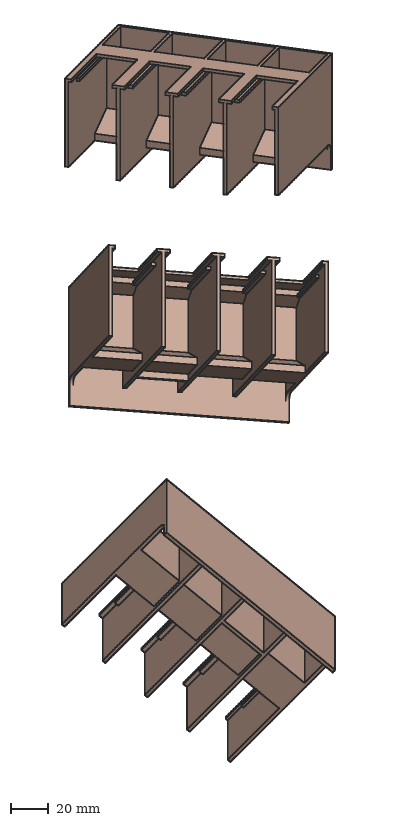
import cadquery as cq
import math

WIDTH = 120.0
DEPTH = 82.5
HEIGHT = 65.5
BAY_COUNT = 4
BAY_PITCH = WIDTH / BAY_COUNT

WALL = 2.0
SIDE_HEIGHT = 50.0
SIDE_BOTTOM = HEIGHT - SIDE_HEIGHT
SKIRT_RADIUS = 4.0
DIVIDER_BOTTOM = 11.8

PLATE = 1.75
SLOT_DEPTH = 39.0
SIDE_LIP = 1.5
DIVIDER_LIP = 2.5
RAIL_GAP = 2.25
RAIL_HEIGHT = 1.75
RAIL_FRONT = 12.5

POCKET_FRONT = DEPTH - 30.0
POCKET_SLOPE_DROP = 8.0
PARTITION_REAR = DEPTH - 22.0
PARTITION_FRONT = PARTITION_REAR - WALL
HEAD_FRONT = PARTITION_FRONT - 8.0
HEAD_BOTTOM = HEIGHT - 5.0
HEAD_SLOPE_DROP = 4.0
FOOT_FRONT = PARTITION_FRONT - 18.0
FOOT_TOP = SIDE_BOTTOM + 4.0
FOOT_SLOPE_RISE = 7.8

EXTENDED_BAY = 2


def box_between(x_range, y_range, z_range):
    """Box spanning a (low, high) range along each axis."""
    sizes = [high - low for low, high in (x_range, y_range, z_range)]
    corner = (x_range[0], y_range[0], z_range[0])
    return cq.Workplane("XY").box(*sizes, centered=False).translate(corner)


def divider_range(index):
    """X range of the divider on the right of bay number `index`."""
    centre = index * BAY_PITCH
    return centre - WALL / 2, centre + WALL / 2


def back_wall():
    return box_between((0, WIDTH), (DEPTH - WALL, DEPTH), (0, HEIGHT))


def partition():
    """Separator with a funnel slope behind, a thick head above and a sloped foot below."""
    profile = [
        (POCKET_FRONT, HEIGHT),
        (PARTITION_REAR, HEIGHT - POCKET_SLOPE_DROP),
        (PARTITION_REAR, SIDE_BOTTOM),
        (FOOT_FRONT, SIDE_BOTTOM),
        (FOOT_FRONT, FOOT_TOP),
        (PARTITION_FRONT, FOOT_TOP + FOOT_SLOPE_RISE),
        (PARTITION_FRONT, HEAD_BOTTOM - HEAD_SLOPE_DROP),
        (HEAD_FRONT, HEAD_BOTTOM),
        (HEAD_FRONT, HEIGHT - PLATE),
        (SLOT_DEPTH, HEIGHT - PLATE),
        (SLOT_DEPTH, HEIGHT),
    ]
    return cq.Workplane("YZ").polyline(profile).close().extrude(WIDTH)


def side_wall(x_left):
    """Outer wall whose bottom edge curves down into the back wall."""
    back_face = DEPTH - WALL
    mid_offset = SKIRT_RADIUS * (1 - math.sqrt(0.5))
    return (
        cq.Workplane("YZ")
        .workplane(offset=x_left)
        .moveTo(0, HEIGHT)
        .lineTo(0, SIDE_BOTTOM)
        .lineTo(back_face - SKIRT_RADIUS, SIDE_BOTTOM)
        .threePointArc(
            (back_face - mid_offset, SIDE_BOTTOM - mid_offset),
            (back_face, SIDE_BOTTOM - SKIRT_RADIUS),
        )
        .lineTo(back_face, HEIGHT)
        .close()
        .extrude(WALL)
    )


def divider(index):
    return box_between(divider_range(index), (0, DEPTH), (DIVIDER_BOTTOM, HEIGHT))


def guides(x_range):
    """Slot lip at the top and the parallel rail below it, both on the same X range."""
    rail_top = HEIGHT - PLATE - RAIL_GAP
    lip = box_between(x_range, (0, SLOT_DEPTH), (HEIGHT - PLATE, HEIGHT))
    rail = box_between(x_range, (RAIL_FRONT, HEAD_FRONT), (rail_top - RAIL_HEIGHT, rail_top))
    return lip.union(rail)


def partition_extension():
    """Part of the partition that continues below the foot between two dividers."""
    x_range = (divider_range(EXTENDED_BAY - 1)[1], divider_range(EXTENDED_BAY)[0])
    return box_between(x_range, (PARTITION_FRONT, PARTITION_REAR), (DIVIDER_BOTTOM, SIDE_BOTTOM))


result = back_wall().union(partition())

side_reach = WALL + SIDE_LIP
result = result.union(side_wall(0)).union(guides((0, side_reach)))
result = result.union(side_wall(WIDTH - WALL)).union(guides((WIDTH - side_reach, WIDTH)))

for number in range(1, BAY_COUNT):
    low, high = divider_range(number)
    result = result.union(divider(number)).union(guides((low - DIVIDER_LIP, high + DIVIDER_LIP)))

result = result.union(partition_extension())